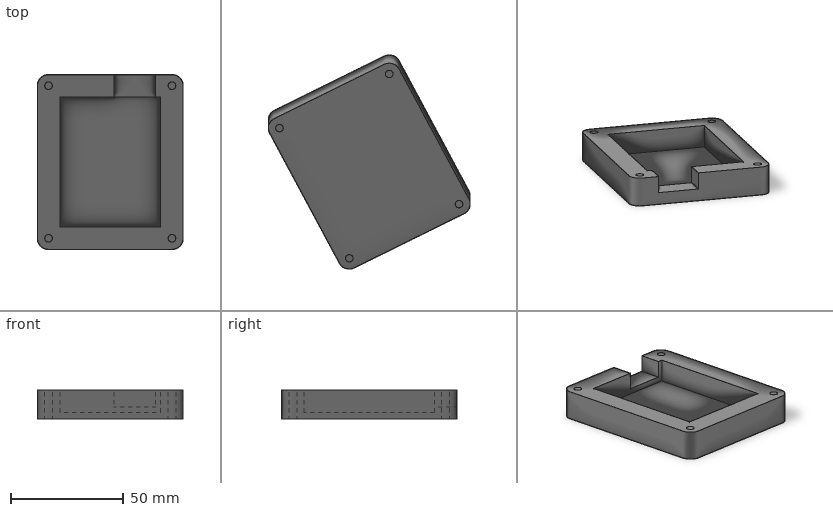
import cadquery as cq

length_x = 65.0
length_y = 78.0
height = 13.0
corner_radius = 5.0
wall = 10.0

pocket_x = length_x - 2 * wall
pocket_y = length_y - 2 * wall
pocket_depth = 10.0

notch_width = 18.5
notch_depth = 7.5
notch_center_x = 11.0

pin_diameter = 3.4
pin_x = length_x / 2 - corner_radius
pin_y = length_y / 2 - corner_radius
pin_places = [(sx * pin_x, sy * pin_y) for sx in (-1, 1) for sy in (-1, 1)]


def make_pin(place):
    """One corner pin, flush with the top and bottom faces."""
    return (
        cq.Workplane("XY", origin=(*place, 0))
        .circle(pin_diameter / 2)
        .extrude(height)
    )


def make_pocket():
    """Volume removed by the pocket."""
    return (
        cq.Workplane("XY", origin=(0, 0, height))
        .rect(pocket_x, pocket_y)
        .extrude(-pocket_depth)
    )


def make_notch():
    """Volume removed by the notch, from the middle of the pocket out through the back wall."""
    return (
        cq.Workplane("XY", origin=(notch_center_x, length_y / 4, height))
        .rect(notch_width, length_y / 2)
        .extrude(-notch_depth)
    )


def make_housing(pins):
    """Rounded block with the pocket, the notch and a matching hole for every pin."""
    housing = (
        cq.Workplane("XY")
        .rect(length_x, length_y)
        .extrude(height)
        .edges("|Z")
        .fillet(corner_radius)
        .cut(make_pocket())
        .cut(make_notch())
    )
    for pin in pins:
        housing = housing.cut(pin)
    return housing


pins = [make_pin(place) for place in pin_places]
housing = make_housing(pins)

result = cq.Compound.makeCompound([housing.val(), *[pin.val() for pin in pins]])